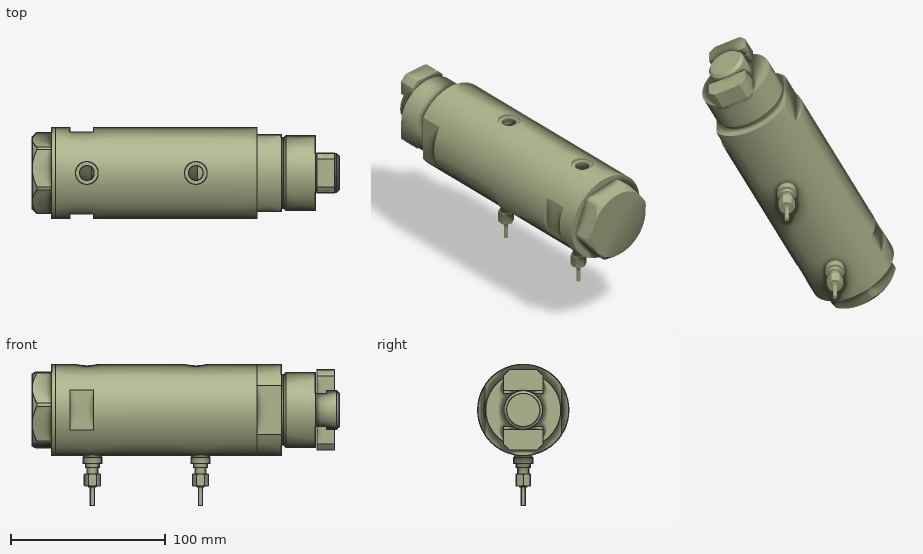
import cadquery as cq
import math


hex_length = 12.5
barrel_start = 15.0
head_start = 145.2
head_shoulder = 161.0
head_end = 183.0
rod_end = 198.5

outer_radius = 29.47
bore_radius = 20.8
spigot_radius = 25.5
rod_radius = 12.5

hex_flat_radius = 23.2
hex_corner_radius = 26.2
hex_tilt = 7.5
cap_stop_radius = 16.9
cap_stop_end = 38.3

spigot_start = 107.0
wrench_flat_start = 24.5
wrench_flat_length = 15.0
wrench_flat_half_height = 12.9
port_positions = (35.3, 105.8)
port_radius = 4.8
port_face_radius = 7.3
port_face_height = 28.0

head_flat_offset = 24.8
nose_radius = 24.2
groove_radius = 22.8
groove_width = 1.5
nose_chamfer = nose_radius - groove_radius

piston_length = 29.8
rod_tip_chamfer = 1.8
rod_flat_offset = 10.7
rod_flat_end = 190.0

jaw_start = 184.0
jaw_end = 195.5
jaw_half_width = 12.9
jaw_outer_height = 26.0
jaw_chamfer = 4.0

sensor_positions = (38.9, 108.7)
sensor_seat = -25.8
sensor_root_radius = 5.8
sensor_collar_top = -30.8
sensor_collar_radius = 6.2
sensor_collar_bottom = -34.5
sensor_step_radius = 4.5
sensor_step_bottom = -37.1
sensor_neck_radius = 3.5
sensor_hex_top = -41.3
sensor_hex_bottom = -49.2
sensor_hex_flat_radius = 4.5
sensor_hex_chamfer = 0.5
cable_sleeve_radius = 2.4
cable_sleeve_bottom = -49.8
cable_radius = 1.4
overall_height = 91.3
cable_end = outer_radius - overall_height


def turned(profile):
    """Solid of revolution about X from (x, radius) points."""
    return (
        cq.Workplane("XZ")
        .polyline(profile)
        .close()
        .revolve(360, (0, 0, 0), (1, 0, 0))
    )


def rod_cylinder(start, end, radius):
    """Cylinder on the X axis between two stations."""
    return cq.Workplane("YZ", origin=(start, 0, 0)).circle(radius).extrude(end - start)


def block(x_range, y_range, z_range):
    """Box between pairs of limits along X, Y and Z."""
    size = [high - low for low, high in (x_range, y_range, z_range)]
    corner = (x_range[0], y_range[0], z_range[0])
    return cq.Workplane("XY").box(*size, centered=False).translate(corner)


def make_cap():
    hexagon = (
        cq.Workplane("YZ")
        .transformed(rotate=(0, 0, -hex_tilt))
        .polygon(6, 2 * hex_flat_radius / math.cos(math.pi / 6))
        .extrude(hex_length)
    )
    corner_bevel = hex_corner_radius - hex_flat_radius
    envelope = rod_cylinder(0, hex_length, hex_corner_radius).faces("<X").chamfer(corner_bevel)
    flange = rod_cylinder(hex_length, barrel_start, outer_radius)
    stop = rod_cylinder(barrel_start, cap_stop_end, cap_stop_radius)
    return hexagon.intersect(envelope).union(flange).union(stop)


def sensor_root_at(x):
    """Part of a sensor, and of its hole, that is sunk into the barrel wall."""
    return (
        cq.Workplane("XY", origin=(x, 0, sensor_seat))
        .circle(sensor_root_radius)
        .extrude(sensor_collar_top - sensor_seat)
    )


def make_barrel():
    barrel = turned([
        (barrel_start, bore_radius),
        (barrel_start, outer_radius),
        (head_start, outer_radius),
        (head_start, spigot_radius),
        (spigot_start, spigot_radius),
        (spigot_start, bore_radius),
    ])
    flat_offset = math.sqrt(outer_radius**2 - wrench_flat_half_height**2)
    flat_range = (wrench_flat_start, wrench_flat_start + wrench_flat_length)
    height_range = (-outer_radius, outer_radius)
    barrel = barrel.cut(block(flat_range, (flat_offset, outer_radius), height_range))
    barrel = barrel.cut(block(flat_range, (-outer_radius, -flat_offset), height_range))
    for x in port_positions:
        seat = cq.Workplane("XY", origin=(x, 0, port_face_height))
        barrel = barrel.cut(seat.circle(port_face_radius).extrude(outer_radius - port_face_height))
        barrel = barrel.cut(seat.circle(port_radius).extrude(-port_face_height))
    for x in sensor_positions:
        barrel = barrel.cut(sensor_root_at(x))
    return barrel


def make_head():
    groove_end = head_shoulder + groove_width
    head = turned([
        (spigot_start, rod_radius),
        (spigot_start, spigot_radius),
        (head_start, spigot_radius),
        (head_start, outer_radius),
        (head_shoulder, outer_radius),
        (head_shoulder, groove_radius),
        (groove_end, groove_radius),
        (groove_end + nose_chamfer, nose_radius),
        (head_end, nose_radius),
        (head_end, rod_radius),
    ])
    flat_range = (head_start, head_shoulder)
    height_range = (-outer_radius, outer_radius)
    head = head.cut(block(flat_range, (head_flat_offset, outer_radius), height_range))
    return head.cut(block(flat_range, (-outer_radius, -head_flat_offset), height_range))


def make_piston_rod():
    piston_end = cap_stop_end + piston_length
    rod = turned([
        (cap_stop_end, 0),
        (cap_stop_end, bore_radius),
        (piston_end, bore_radius),
        (piston_end, rod_radius),
        (rod_end - rod_tip_chamfer, rod_radius),
        (rod_end, rod_radius - rod_tip_chamfer),
        (rod_end, 0),
    ])
    flat_range = (head_end, rod_flat_end)
    width_range = (-rod_radius, rod_radius)
    rod = rod.cut(block(flat_range, width_range, (rod_flat_offset, rod_radius)))
    return rod.cut(block(flat_range, width_range, (-rod_radius, -rod_flat_offset)))


def make_jaw(side):
    """Clamp jaw above (side = 1) or below (side = -1) the rod."""
    jaw = (
        cq.Workplane("XZ")
        .polyline([
            (jaw_start, side * rod_flat_offset),
            (rod_flat_end, side * rod_flat_offset),
            (rod_flat_end, side * rod_radius),
            (jaw_end, side * rod_radius),
            (jaw_end, side * jaw_outer_height),
            (jaw_start, side * jaw_outer_height),
        ])
        .close()
        .extrude(jaw_half_width, both=True)
    )
    outer_face = jaw.faces(">Z" if side > 0 else "<Z")
    return outer_face.edges("|X").chamfer(jaw_chamfer)


def make_sensor(x):
    def round_section(top, bottom, radius):
        return cq.Workplane("XY", origin=(x, 0, bottom)).circle(radius).extrude(top - bottom)

    hex_corner = sensor_hex_flat_radius / math.cos(math.pi / 6)
    hexagon = (
        cq.Workplane("XY", origin=(x, 0, sensor_hex_bottom))
        .polygon(6, 2 * hex_corner)
        .extrude(sensor_hex_top - sensor_hex_bottom)
    )
    bevelled = round_section(sensor_hex_top, sensor_hex_bottom, hex_corner)
    bevelled = bevelled.faces("<Z or >Z").chamfer(sensor_hex_chamfer)
    return (
        sensor_root_at(x)
        .union(round_section(sensor_collar_top, sensor_collar_bottom, sensor_collar_radius))
        .union(round_section(sensor_collar_bottom, sensor_step_bottom, sensor_step_radius))
        .union(round_section(sensor_step_bottom, sensor_hex_top, sensor_neck_radius))
        .union(hexagon.intersect(bevelled))
        .union(round_section(sensor_hex_bottom, cable_sleeve_bottom, cable_sleeve_radius))
        .union(round_section(cable_sleeve_bottom, cable_end, cable_radius))
    )


cap = make_cap()
barrel = make_barrel()
head = make_head()
piston_rod = make_piston_rod()
jaws = [make_jaw(side) for side in (1, -1)]
sensors = [make_sensor(x) for x in sensor_positions]

result = cq.Compound.makeCompound([
    cap.val(),
    barrel.val(),
    head.val(),
    piston_rod.val(),
    *[jaw.val() for jaw in jaws],
    *[sensor.val() for sensor in sensors],
])